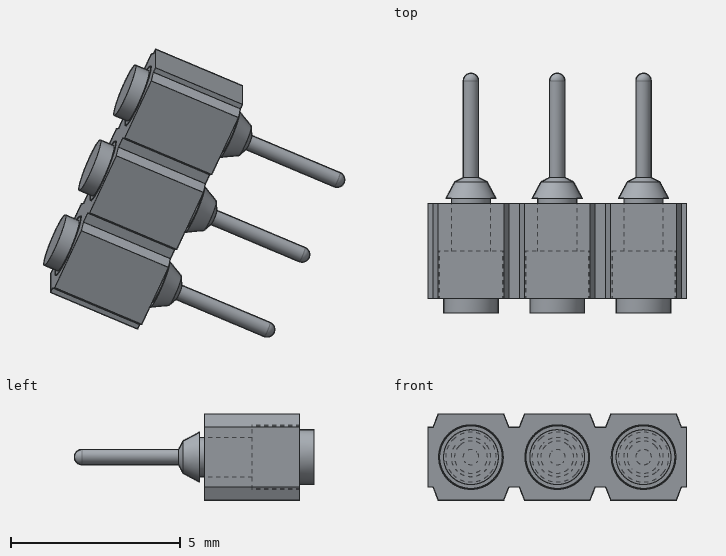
import cadquery as cq

cell_count = 3
housing_length = 7.62
pitch = housing_length / cell_count
housing_height = pitch
housing_depth = 2.805

groove_depth = 0.39
groove_floor_half_width = 0.15
groove_mouth_half_width = 0.305

head_radius = 0.81
head_length = 0.43
barrel_radius = 0.92
barrel_length = housing_depth / 2
neck_radius = 0.58
neck_exposed_length = 0.145
collar_base_radius = 0.74
collar_shoulder_radius = 0.48
collar_lower_length = 0.49
collar_upper_length = 0.13
pin_radius = 0.23
contact_length = 7.06

barrel_clearance = 0.03
recess_radius = barrel_radius + barrel_clearance

head_front = -head_length
collar_base = housing_depth + neck_exposed_length
collar_shoulder = collar_base + collar_lower_length
collar_top = collar_shoulder + collar_upper_length
pin_tip = head_front + contact_length
pin_end = pin_tip - pin_radius

cell_centers = [(i - (cell_count - 1) / 2) * pitch for i in range(cell_count)]
cell_boundaries = [(i - cell_count / 2) * pitch for i in range(cell_count + 1)]


def cylinder_along_y(x, radius, length):
    """Cylinder running in +Y from the housing's front face."""
    return cq.Workplane(cq.Solid.makeCylinder(radius, length, cq.Vector(x, 0, 0), cq.Vector(0, 1, 0)))


def make_groove(x, side):
    """Groove cutter at a cell boundary; side is +1 for the top face, -1 for the bottom."""
    mouth_z = side * housing_height / 2
    floor_z = side * (housing_height / 2 - groove_depth)
    return (
        cq.Workplane("XZ")
        .moveTo(x - groove_mouth_half_width, mouth_z)
        .lineTo(x - groove_floor_half_width, floor_z)
        .lineTo(x + groove_floor_half_width, floor_z)
        .lineTo(x + groove_mouth_half_width, mouth_z)
        .close()
        .extrude(-housing_depth)
    )


def make_housing():
    """Grooved block with a stepped through hole in each cell."""
    block = cq.Workplane("XY").box(
        housing_length, housing_depth, housing_height, centered=(True, False, True)
    )
    for x in cell_boundaries:
        for side in (1, -1):
            block = block.cut(make_groove(x, side))
    for x in cell_centers:
        block = block.cut(cylinder_along_y(x, recess_radius, barrel_length))
        block = block.cut(cylinder_along_y(x, neck_radius, housing_depth))
    return block


def make_contact(x):
    """Turned contact: head, barrel, neck, collar of two cones and round-tipped pin."""
    tip_bend = pin_radius * 0.5**0.5
    profile = (
        cq.Workplane("XY")
        .moveTo(0, head_front)
        .lineTo(head_radius, head_front)
        .lineTo(head_radius, 0)
        .lineTo(barrel_radius, 0)
        .lineTo(barrel_radius, barrel_length)
        .lineTo(neck_radius, barrel_length)
        .lineTo(neck_radius, collar_base)
        .lineTo(collar_base_radius, collar_base)
        .lineTo(collar_shoulder_radius, collar_shoulder)
        .lineTo(pin_radius, collar_top)
        .lineTo(pin_radius, pin_end)
        .threePointArc((tip_bend, pin_end + tip_bend), (0, pin_tip))
        .close()
    )
    return profile.revolve(360, (0, 0, 0), (0, 1, 0)).translate((x, 0, 0))


housing = make_housing()
contacts = [make_contact(x) for x in cell_centers]

result = cq.Compound.makeCompound([housing.val(), *[contact.val() for contact in contacts]])